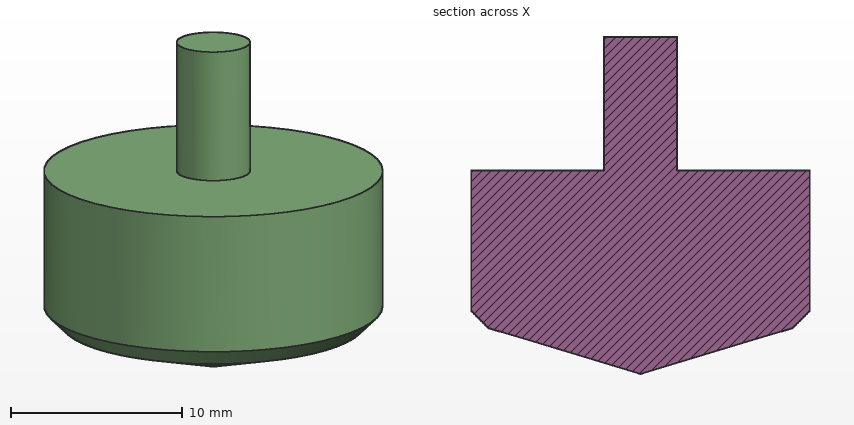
import cadquery as cq

body_diameter = 19.8
pin_diameter = 4.3
total_height = 19.7
pin_length = 7.8
chamfer_size = 1.03
cone_height = 2.67

body_radius = body_diameter / 2
pin_radius = pin_diameter / 2
cone_radius = body_radius - chamfer_size
body_bottom = cone_height + chamfer_size
body_top = total_height - pin_length

half_section = (
    cq.Workplane("XZ")
    .moveTo(0, 0)
    .lineTo(cone_radius, cone_height)
    .lineTo(body_radius, body_bottom)
    .lineTo(body_radius, body_top)
    .lineTo(pin_radius, body_top)
    .lineTo(pin_radius, total_height)
    .lineTo(0, total_height)
    .close()
)
result = half_section.revolve(360, (0, 0, 0), (0, 1, 0))